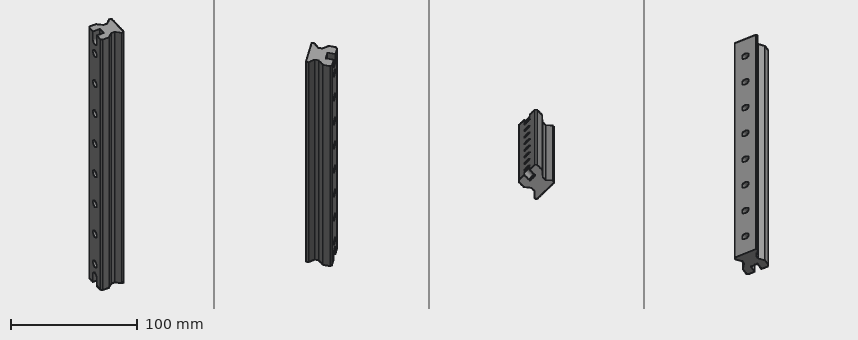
import cadquery as cq

width = 20.0
depth = 21.0
length = 250.0

neck_width = 12.5
front_chamfer = 1.2
back_chamfer = 0.5
flank_end = 7.2
shoulder_width = 0.8
shoulder_rise = 0.5
neck_start = 11.5
neck_end = 14.8
lip_start = 18.8

hole_diameter = 6.0
hole_count = 8
hole_pitch = 30.0

slot_width = 6.0
slot_length = 11.0
slot_depth = 6.5

half_width = width / 2
half_neck = neck_width / 2
front_y = -depth / 2


def make_rail():
    """Extrude the waisted section over the full length."""
    right_side = [
        (half_width - front_chamfer, 0),
        (half_width, front_chamfer),
        (half_width, flank_end),
        (half_width - shoulder_width, flank_end + shoulder_rise),
        (half_neck, neck_start),
        (half_neck, neck_end),
        (half_width, lip_start),
        (half_width, depth - back_chamfer),
        (half_width - back_chamfer, depth),
    ]
    left_side = [(-x, y) for x, y in reversed(right_side)]
    section = cq.Workplane("XY").polyline(right_side + left_side).close()
    return section.extrude(length).translate((0, front_y, -length / 2))


def make_holes():
    """Through holes along Y, evenly spaced about the middle of the rail."""
    return (
        cq.Workplane("XZ", origin=(0, front_y, 0))
        .rarray(2.5, hole_pitch, 1, hole_count)
        .circle(hole_diameter / 2)
        .extrude(-depth)
    )


def make_end_slot(end):
    """Slot open at one end of the rail: end is 1 for top, -1 for bottom."""
    radius = slot_width / 2
    end_z = end * length / 2
    arc_z = end_z - end * (slot_length - radius)
    tip_z = end_z - end * slot_length
    return (
        cq.Workplane("XZ", origin=(0, front_y, 0))
        .moveTo(-radius, end_z)
        .lineTo(-radius, arc_z)
        .threePointArc((0, tip_z), (radius, arc_z))
        .lineTo(radius, end_z)
        .close()
        .extrude(-slot_depth)
    )


result = make_rail().cut(make_holes())
for end in (1, -1):
    result = result.cut(make_end_slot(end))